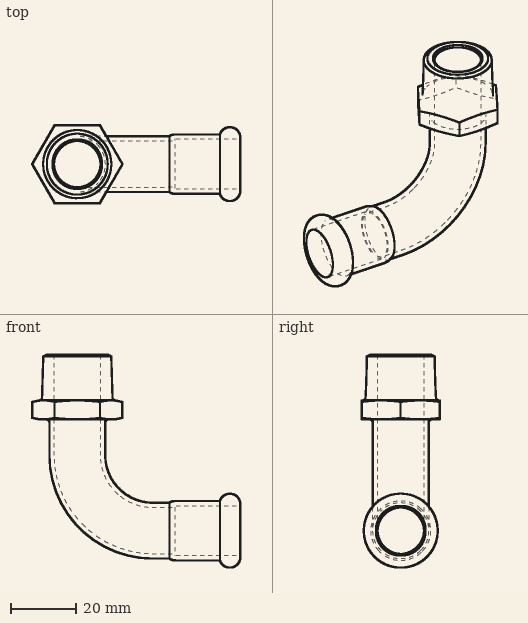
import cadquery as cq
import math


tube_diameter = 17.2
bore_diameter = 14.2
bend_radius = 23.15

socket_diameter = 18.3
socket_bore_diameter = 15.3
socket_start = 28.2
socket_shoulder_length = 1.75
socket_end = 50.0
bead_diameter = 22.75
bead_width = 6.5

hex_across_flats = 24.0
hex_bottom = 34.05
hex_top = 40.0
hex_chamfer_height = 0.5
hex_chamfer_diameter = 22.95
hex_fillet_radius = 0.85

male_end = 54.0
male_root_diameter = 21.7
male_tip_diameter = 20.9
male_rim_diameter = 18.7
male_rim_height = 0.65
male_fillet_radius = 0.6
mouth_chamfer = 0.5

tube_radius = tube_diameter / 2
socket_radius = socket_diameter / 2
bead_round_radius = bead_width / 2
bead_ring_radius = bead_diameter / 2 - bead_round_radius
bead_center = socket_end - bead_round_radius
hex_across_corners = hex_across_flats / math.cos(math.pi / 6)


def cylinder_z(diameter, start, end):
    return cq.Workplane("XY").workplane(offset=start).circle(diameter / 2).extrude(end - start)


def cylinder_x(diameter, start, end):
    return cq.Workplane("YZ").workplane(offset=start).circle(diameter / 2).extrude(end - start)


def swept_rod(diameter, inlet_end, outlet_end):
    """Solid round rod along Z, through the bend and out along X."""
    bend = (
        cq.Workplane("XY", origin=(0, 0, bend_radius))
        .circle(diameter / 2)
        .revolve(90, (bend_radius, 0, 0), (bend_radius, -1, 0))
    )
    inlet = cylinder_z(diameter, bend_radius, inlet_end)
    outlet = cylinder_x(diameter, bend_radius, outlet_end)
    return bend.union(inlet).union(outlet)


def make_hexagon():
    """Hexagon with corners on the X axis and conical chamfers on both faces."""
    prism = (
        cq.Workplane("XY")
        .workplane(offset=hex_bottom)
        .polygon(6, hex_across_corners)
        .extrude(hex_top - hex_bottom)
    )
    face_radius = hex_chamfer_diameter / 2
    corner_radius = hex_across_corners / 2
    chamfer_envelope = (
        cq.Workplane("XZ")
        .moveTo(0, hex_bottom)
        .lineTo(face_radius, hex_bottom)
        .lineTo(corner_radius, hex_bottom + hex_chamfer_height)
        .lineTo(corner_radius, hex_top - hex_chamfer_height)
        .lineTo(face_radius, hex_top)
        .lineTo(0, hex_top)
        .close()
        .revolve(360, (0, 0, 0), (0, 1, 0))
    )
    return prism.intersect(chamfer_envelope)


def concave_middle(corner_radius, corner_z, fillet_radius, z_direction):
    """Middle point of a concave quarter fillet in the angle at a corner."""
    inset = fillet_radius * (1 - math.sqrt(0.5))
    return (corner_radius + inset, corner_z + z_direction * inset)


def make_male_end():
    """Tapered end with a chamfered rim and a fillet down to the hexagon."""
    root_radius = male_root_diameter / 2
    return (
        cq.Workplane("XZ")
        .moveTo(0, hex_top)
        .lineTo(root_radius + male_fillet_radius, hex_top)
        .threePointArc(
            concave_middle(root_radius, hex_top, male_fillet_radius, 1),
            (root_radius, hex_top + male_fillet_radius),
        )
        .lineTo(male_tip_diameter / 2, male_end - male_rim_height)
        .lineTo(male_rim_diameter / 2, male_end)
        .lineTo(0, male_end)
        .close()
        .revolve(360, (0, 0, 0), (0, 1, 0))
    )


def make_hex_fillet():
    """Concave fillet between the tube and the underside of the hexagon."""
    return (
        cq.Workplane("XZ")
        .moveTo(0, hex_bottom)
        .lineTo(tube_radius + hex_fillet_radius, hex_bottom)
        .threePointArc(
            concave_middle(tube_radius, hex_bottom, hex_fillet_radius, -1),
            (tube_radius, hex_bottom - hex_fillet_radius),
        )
        .lineTo(0, hex_bottom - hex_fillet_radius)
        .close()
        .revolve(360, (0, 0, 0), (0, 1, 0))
    )


def make_socket():
    """Socket with a rounded shoulder and a round bead at its mouth."""
    shoulder_end = socket_start + socket_shoulder_length
    step = socket_radius - tube_radius
    shoulder_arc_radius = (socket_shoulder_length**2 + step**2) / (2 * step)
    half_angle = math.asin(socket_shoulder_length / shoulder_arc_radius) / 2
    shoulder_middle = (
        shoulder_end - shoulder_arc_radius * math.sin(half_angle),
        socket_radius - shoulder_arc_radius * (1 - math.cos(half_angle)),
    )
    body = (
        cq.Workplane("XZ")
        .moveTo(socket_start, 0)
        .lineTo(socket_start, tube_radius)
        .threePointArc(shoulder_middle, (shoulder_end, socket_radius))
        .lineTo(bead_center, socket_radius)
        .lineTo(bead_center, 0)
        .close()
        .revolve(360, (0, 0, 0), (1, 0, 0))
    )
    bead = (
        cq.Workplane("XZ")
        .center(bead_center, bead_ring_radius)
        .circle(bead_round_radius)
        .revolve(360, (0, -bead_ring_radius, 0), (1, -bead_ring_radius, 0))
    )
    return body.union(bead)


def make_mouth_chamfer():
    """Conical cutter for the edge of the bore at the male end."""
    bore_radius = bore_diameter / 2
    return (
        cq.Workplane("XZ")
        .moveTo(0, male_end - mouth_chamfer)
        .lineTo(bore_radius, male_end - mouth_chamfer)
        .lineTo(bore_radius + mouth_chamfer, male_end)
        .lineTo(0, male_end)
        .close()
        .revolve(360, (0, 0, 0), (0, 1, 0))
    )


outside = swept_rod(tube_diameter, hex_bottom, socket_start)
for section in (make_hex_fillet(), make_hexagon(), make_male_end(), make_socket()):
    outside = outside.union(section)

bore = swept_rod(bore_diameter, male_end, socket_end)
socket_bore = cylinder_x(socket_bore_diameter, socket_start + socket_shoulder_length, socket_end)

result = outside.cut(bore).cut(socket_bore).cut(make_mouth_chamfer())